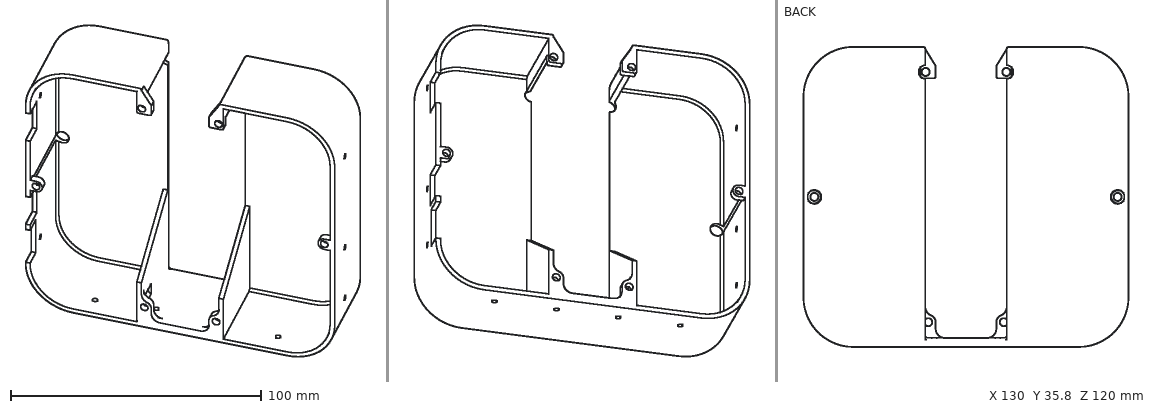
import cadquery as cq
import math

WIDTH = 130.0
DEPTH = 35.8
HEIGHT = 120.0
WALL = 2.0
CORNER_RADIUS = 20.0
REAR_ROUNDING = 3.2
INNER_CHAMFER = 1.0

SLOT_HALF = 16.2
RIB_OUTER = SLOT_HALF + WALL
RIB_REAR_TOP = -15.9
RIB_FRONT_TOP = -38.0
FLOOR_TOP = -56.3
EDGE_ROUNDING = 0.9
REAR_LIP_ROUNDING = 1.0

TAB_THICKNESS = 3.0
TAB_INNER = 12.1
SCREW_RADIUS = 1.5
ACCESS_RADIUS = 2.7

TOP_SCREW_X = 16.1
TOP_SCREW_Z = 49.9
TOP_TAB_BOTTOM = 47.3
TOP_TAB_SHOULDER = 52.4
TAB_CORNER_RADIUS = 0.8

BOTTOM_SCREW_X = 15.1
BOTTOM_SCREW_Z = -50.0
TAB_FILLET = 3.6
BOTTOM_RECESS_LENGTH = 9.4

SIDE_SCREW_X = 60.6
SIDE_BOSS_RADIUS = 2.6

PIN_RADIUS = 1.0
SIDE_PIN_Y = 13.1
SIDE_PIN_ZS = (35.8, -10.1, -35.6)
FLOOR_PIN_Y = 8.3
FLOOR_PIN_XS = (12.7, 38.5)

SIDE_OPENINGS = (
    (22.2, 36.0, 8.7),
    (-20.0, -6.1, 8.7),
    (-39.3, -22.8, 7.3),
)

SIDES = (-1, 1)


def box(x_range, y_range, z_range):
    """Axis-aligned block between two limits on each axis."""
    x0, x1 = sorted(x_range)
    y0, y1 = y_range
    z0, z1 = z_range
    return cq.Workplane("XY").box(x1 - x0, y1 - y0, z1 - z0, centered=False).translate((x0, y0, z0))


def plane_at(y):
    """Workplane at depth y whose local axes are X and Z and whose normal is -Y."""
    return cq.Workplane("XZ", origin=(0, y, 0))


def rod(x, z, radius, y_start, y_end):
    """Cylinder along Y."""
    return plane_at(y_start).center(x, z).circle(radius).extrude(y_start - y_end)


def make_shell():
    """Open-fronted tray with rounded corners and a rounded rear edge."""
    outer = plane_at(0).rect(WIDTH, HEIGHT).extrude(-DEPTH)
    outer = outer.edges("|Y").fillet(CORNER_RADIUS).faces(">Y").edges().fillet(REAR_ROUNDING)
    cavity = plane_at(0).rect(WIDTH - 2 * WALL, HEIGHT - 2 * WALL).extrude(WALL - DEPTH)
    cavity = cavity.edges("|Y").fillet(CORNER_RADIUS - WALL).faces(">Y").edges().chamfer(INNER_CHAMFER)
    return outer, outer.cut(cavity)


def make_center_frame():
    """Thick floor, ribs and upper lips around the slot, before the slot is cut."""
    floor = box((-RIB_OUTER, RIB_OUTER), (0, DEPTH), (-HEIGHT / 2, FLOOR_TOP + EDGE_ROUNDING))
    rib_outline = [
        (0, -HEIGHT / 2),
        (0, RIB_FRONT_TOP),
        (DEPTH - WALL, RIB_REAR_TOP),
        (DEPTH, RIB_REAR_TOP),
        (DEPTH, -HEIGHT / 2),
    ]
    frame = floor
    for side in SIDES:
        rib = cq.Workplane("YZ", origin=(side * SLOT_HALF, 0, 0)).polyline(rib_outline).close()
        lip = box((side * SLOT_HALF, side * RIB_OUTER), (0, DEPTH), (TOP_SCREW_Z, HEIGHT / 2))
        frame = frame.union(rib.extrude(side * WALL)).union(lip)
    return frame


def make_slot():
    """Slot volume: open at the top, rounded where it meets the floor."""
    slot = box((-SLOT_HALF, SLOT_HALF), (0, DEPTH), (FLOOR_TOP, HEIGHT / 2))
    return slot.edges("|Y and <Z").fillet(EDGE_ROUNDING)


def round_slot_edges(body):
    """Round the top wall ends and the rear edge of the floor between the ribs."""
    margin = 0.1
    near_top_ends = cq.selectors.BoxSelector(
        (-SLOT_HALF - margin, 0, HEIGHT / 2 - margin),
        (SLOT_HALF + margin, DEPTH, HEIGHT / 2 + margin),
    )
    body = body.edges(near_top_ends).edges("|Y").fillet(EDGE_ROUNDING)

    center_y = DEPTH - REAR_LIP_ROUNDING
    center_z = FLOOR_TOP - REAR_LIP_ROUNDING
    corner = box((-SLOT_HALF, SLOT_HALF), (center_y, DEPTH), (center_z, FLOOR_TOP))
    rounded_edge = (
        cq.Workplane("YZ", origin=(-SLOT_HALF, 0, 0))
        .center(center_y, center_z)
        .circle(REAR_LIP_ROUNDING)
        .extrude(2 * SLOT_HALF)
    )
    return body.cut(corner.cut(rounded_edge))


def make_top_tab(side):
    """Hanging tab beside the slot at the top, with a sloped inner corner."""
    tab = (
        plane_at(0)
        .moveTo(side * RIB_OUTER, HEIGHT / 2 - EDGE_ROUNDING)
        .lineTo(side * SLOT_HALF, HEIGHT / 2 - EDGE_ROUNDING)
        .lineTo(side * TAB_INNER, TOP_TAB_SHOULDER)
        .lineTo(side * TAB_INNER, TOP_TAB_BOTTOM)
        .lineTo(side * RIB_OUTER, TOP_TAB_BOTTOM)
        .close()
        .extrude(-TAB_THICKNESS)
    )
    return tab.edges("|Y and <Z").fillet(TAB_CORNER_RADIUS)


def make_bottom_tab(side):
    """Tab rounded about its screw in the lower corner of the slot, blended into rib and floor."""
    tab_radius = BOTTOM_SCREW_X - TAB_INNER

    fillet_x = SLOT_HALF - TAB_FILLET
    across = BOTTOM_SCREW_X - fillet_x
    center_gap = tab_radius + TAB_FILLET
    rise = math.sqrt(center_gap**2 - across**2)
    fillet_z = BOTTOM_SCREW_Z + rise
    share = tab_radius / center_gap
    touch = (side * (BOTTOM_SCREW_X - across * share), BOTTOM_SCREW_Z + rise * share)

    return (
        plane_at(0)
        .moveTo(side * RIB_OUTER, FLOOR_TOP)
        .lineTo(side * RIB_OUTER, fillet_z)
        .lineTo(side * SLOT_HALF, fillet_z)
        .radiusArc(touch, side * TAB_FILLET)
        .radiusArc((side * TAB_INNER, BOTTOM_SCREW_Z), -side * tab_radius)
        .lineTo(side * TAB_INNER, FLOOR_TOP + TAB_FILLET)
        .radiusArc((side * (TAB_INNER - TAB_FILLET), FLOOR_TOP), side * TAB_FILLET)
        .close()
        .extrude(-TAB_THICKNESS)
    )


def make_side_boss(side):
    """Round-ended boss on the inner face of a side wall."""
    boss = rod(side * SIDE_SCREW_X, 0, SIDE_BOSS_RADIUS, 0, TAB_THICKNESS)
    web = box(
        (side * SIDE_SCREW_X, side * (WIDTH / 2 - WALL / 2)),
        (0, TAB_THICKNESS),
        (-SIDE_BOSS_RADIUS, SIDE_BOSS_RADIUS),
    )
    return boss.union(web)


outer, body = make_shell()
body = body.union(make_center_frame().intersect(outer)).cut(make_slot())
body = round_slot_edges(body)

for side in SIDES:
    body = body.union(make_top_tab(side)).union(make_bottom_tab(side)).union(make_side_boss(side))

recess_end = TAB_THICKNESS + BOTTOM_RECESS_LENGTH
for side in SIDES:
    for x, z, bore_end in (
        (TOP_SCREW_X, TOP_SCREW_Z, DEPTH),
        (BOTTOM_SCREW_X, BOTTOM_SCREW_Z, recess_end),
        (SIDE_SCREW_X, 0, DEPTH),
    ):
        body = body.cut(rod(side * x, z, SCREW_RADIUS, 0, TAB_THICKNESS))
        body = body.cut(rod(side * x, z, ACCESS_RADIUS, TAB_THICKNESS, bore_end))

for z in SIDE_PIN_ZS:
    for side in SIDES:
        pin = cq.Workplane("YZ", origin=(side * WIDTH / 2, SIDE_PIN_Y, z)).circle(PIN_RADIUS)
        body = body.cut(pin.extrude(-side * 2 * WALL))

for x in FLOOR_PIN_XS:
    for side in SIDES:
        pin = cq.Workplane("XY", origin=(side * x, FLOOR_PIN_Y, -HEIGHT / 2)).circle(PIN_RADIUS)
        body = body.cut(pin.extrude(2 * WALL))

for z_low, z_high, depth in SIDE_OPENINGS:
    body = body.cut(box((-WIDTH / 2, -WIDTH / 2 + WALL), (0, depth), (z_low, z_high)))

result = body